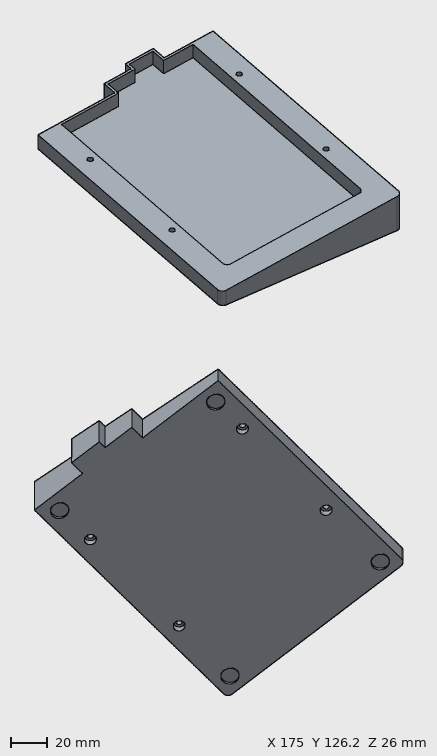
import cadquery as cq

length = 175.0
width = 126.2
back_height = 26.0
front_height = 10.7
corner_radius = 3.3

front_wall_x = 14.3
front_tab_x = 5.0
back_tab_x = 0.0
back_wall_x = 9.5
front_step_y = 53.5
middle_step_y = 72.5
back_step_y = 92.0

wall = 1.5
front_rim = 15.2
back_rim = 15.2
right_rim = 14.9
pocket_depth = 10.0
pocket_radius = 3.0

screw_diameter = 3.3
head_diameter = 6.5
head_depth = 3.5
screw_edge_offset = 10.1
front_screw_xs = (47.5, 119.2)
back_screw_xs = (45.1, 121.3)

foot_diameter = 10.0
foot_depth = 1.0
foot_inset = 9.8


def underside_z(y):
    """Height of the sloping underside at a given Y."""
    return (back_height - front_height) * (1 - y / width)


def stepped_plate(offset, front_y, back_y, right_x, radius, height):
    """Plate with the stepped left side moved inward by offset and rounded right corners."""
    return (
        cq.Workplane("XY")
        .moveTo(right_x, front_y)
        .lineTo(right_x, back_y)
        .lineTo(back_wall_x + offset, back_y)
        .lineTo(back_wall_x + offset, back_step_y - offset)
        .lineTo(back_tab_x + offset, back_step_y - offset)
        .lineTo(back_tab_x + offset, middle_step_y + offset)
        .lineTo(front_tab_x + offset, middle_step_y + offset)
        .lineTo(front_tab_x + offset, front_step_y + offset)
        .lineTo(front_wall_x + offset, front_step_y + offset)
        .lineTo(front_wall_x + offset, front_y)
        .close()
        .extrude(height)
        .edges("|Z and >X")
        .fillet(radius)
    )


def wedge():
    """Side profile: level top, underside sloping down toward the back."""
    return (
        cq.Workplane("YZ")
        .polyline([
            (0, underside_z(0)),
            (width, underside_z(width)),
            (width, back_height),
            (0, back_height),
        ])
        .close()
        .extrude(length)
    )


def underside_bore(x, y, diameter, depth):
    """Vertical bore from below, ending the given depth above the underside at its center."""
    return (
        cq.Workplane("XY")
        .center(x, y)
        .circle(diameter / 2)
        .extrude(underside_z(y) + depth)
    )


body = stepped_plate(0, 0, width, length, corner_radius, back_height).intersect(wedge())

pocket = stepped_plate(
    wall, front_rim, width - back_rim, length - right_rim, pocket_radius, pocket_depth
)
body = body.cut(pocket.translate((0, 0, back_height - pocket_depth)))

screw_rows = (
    (screw_edge_offset, front_screw_xs),
    (width - screw_edge_offset, back_screw_xs),
)
for y, xs in screw_rows:
    for x in xs:
        shank = cq.Workplane("XY").center(x, y).circle(screw_diameter / 2).extrude(back_height)
        body = body.cut(shank)
        body = body.cut(underside_bore(x, y, head_diameter, head_depth))

foot_rows = (
    (foot_inset, front_wall_x),
    (width - foot_inset, back_wall_x),
)
for y, left_wall_x in foot_rows:
    for x in (left_wall_x + foot_inset, length - foot_inset):
        body = body.cut(underside_bore(x, y, foot_diameter, foot_depth))

result = body